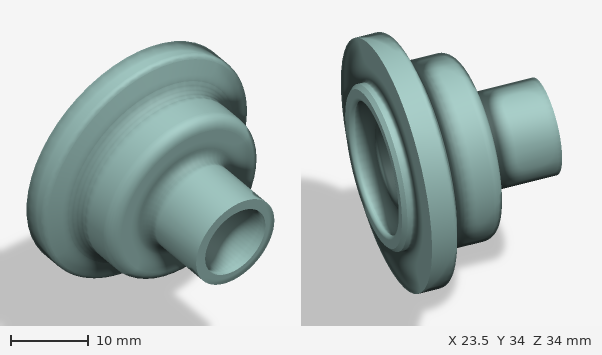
import cadquery as cq
import math

flange_face = 1.77
cone_start = 5.25
hub_face = 13.53
total_length = 23.5
tube_face = 2.35

flange_radius = 17.0
hub_radius = 25.0 / 2
neck_radius = 13.0 / 2
rim_radius = 22.3 / 2
groove_outer_radius = 8.95
groove_inner_radius = 6.22
groove_arc_radius = 1.85
bore_radius = 10.0 / 2

cone_angle = 20.0
rim_chamfer = 0.55
rim_root_fillet = 0.4
flange_edge_fillet = 0.75
cone_root_fillet = 2.0
hub_edge_fillet = 1.63
neck_root_fillet = 1.5
groove_lip_fillet = 0.5
tube_outer_fillet = 0.4
tube_bore_fillet = 0.48

cone_end = cone_start + (flange_radius - hub_radius) * math.tan(math.radians(cone_angle))
selection_margin = 0.005


def circle_edges(x, radius):
    """Select the circular edge of the given radius at axial position x."""

    def slab(reach):
        return cq.selectors.BoxSelector(
            (x - selection_margin, -reach, -reach),
            (x + selection_margin, reach, reach),
            boundingbox=True,
        )

    return slab(radius + selection_margin) - slab(radius - selection_margin)


section = (
    cq.Workplane("XY")
    .moveTo(0, groove_outer_radius + groove_lip_fillet)
    .lineTo(0, rim_radius)
    .lineTo(flange_face, rim_radius)
    .lineTo(flange_face, flange_radius)
    .lineTo(cone_start, flange_radius)
    .lineTo(cone_end, hub_radius)
    .lineTo(hub_face, hub_radius)
    .lineTo(hub_face, neck_radius)
    .lineTo(total_length, neck_radius)
    .lineTo(total_length, bore_radius)
    .lineTo(tube_face, bore_radius)
    .lineTo(tube_face, groove_inner_radius - tube_outer_fillet)
    .radiusArc((tube_face + tube_outer_fillet, groove_inner_radius), tube_outer_fillet)
    .radiusArc((groove_lip_fillet, groove_outer_radius), -groove_arc_radius)
    .radiusArc((0, groove_outer_radius + groove_lip_fillet), groove_lip_fillet)
    .close()
)
body = section.revolve(360, (0, 0, 0), (1, 0, 0))

rounded_corners = [
    (flange_face, rim_radius, rim_root_fillet),
    (cone_start, flange_radius, flange_edge_fillet),
    (cone_end, hub_radius, cone_root_fillet),
    (hub_face, hub_radius, hub_edge_fillet),
    (hub_face, neck_radius, neck_root_fillet),
    (tube_face, bore_radius, tube_bore_fillet),
]
for x, radius, fillet in rounded_corners:
    body = body.edges(circle_edges(x, radius)).fillet(fillet)

result = body.edges(circle_edges(0, rim_radius)).chamfer(rim_chamfer)